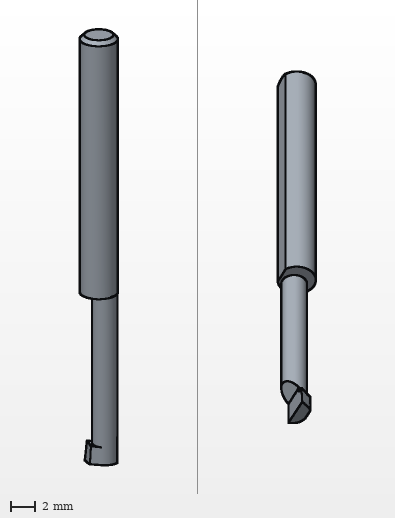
import cadquery as cq

total_length = 38.1
shank_radius = 1.58
shank_bottom = 15.15
shank_chamfer = 0.4
shank_flat_y = 1.353

neck_radius = 1.05
neck_x = shank_radius - neck_radius

cut_face_y = 0.05
ramp_bottom = 2.25
ramp_top = 3.25

tooth_height = 1.8
tooth_tip_x = -1.22
tooth_heel_x = -0.72
tooth_heel_y = -0.75
tooth_back_x = -0.45
tooth_side_lean = 0.2
end_relief_angle = 7.0
end_dish_angle = 2.0


def make_shank():
    """Round shank with a chamfered top and a flat along its +Y side."""
    shank = (
        cq.Workplane("XY", origin=(0, 0, shank_bottom))
        .circle(shank_radius)
        .extrude(total_length - shank_bottom)
        .faces(">Z")
        .chamfer(shank_chamfer)
    )
    flat_cutter = cq.Workplane("XY").box(
        2 * shank_radius, shank_radius, total_length, centered=(True, False, False)
    ).translate((0, shank_flat_y, 0))
    return shank.cut(flat_cutter)


def make_neck():
    """Offset round neck, halved and ramped near the tip."""
    neck = (
        cq.Workplane("XY", origin=(neck_x, 0, 0))
        .circle(neck_radius)
        .extrude(shank_bottom)
    )
    relief = (
        cq.Workplane("YZ")
        .moveTo(cut_face_y, 0)
        .lineTo(cut_face_y, ramp_bottom)
        .lineTo(neck_radius, ramp_top)
        .lineTo(neck_radius, 0)
        .close()
        .extrude(2 * shank_radius, both=True)
    )
    return neck.cut(relief)


def tooth_outline(shift):
    """Corners of the tooth, with its outer side moved inward by shift."""
    return [
        (neck_x, cut_face_y),
        (tooth_tip_x + shift, cut_face_y),
        (tooth_heel_x + shift, tooth_heel_y),
        (tooth_back_x + shift / 2, -neck_radius),
        (neck_x, -neck_radius),
    ]


def make_tooth():
    """Tooth whose outer side leans outward toward the tip."""
    return (
        cq.Workplane("XY")
        .polyline(tooth_outline(0))
        .close()
        .workplane(offset=tooth_height)
        .polyline(tooth_outline(tooth_side_lean))
        .close()
        .loft(ruled=True)
    )


def make_end_relief():
    """Block whose top slopes up from the tooth tip toward -Y and +X."""
    block_size = 4 * shank_radius
    return (
        cq.Workplane("XY")
        .box(block_size, block_size, block_size, centered=(True, True, False))
        .translate((0, 0, -block_size))
        .rotate((0, 0, 0), (1, 0, 0), -end_relief_angle)
        .rotate((0, 0, 0), (0, 1, 0), -end_dish_angle)
        .translate((tooth_tip_x, cut_face_y, 0))
    )


lower_end = make_neck().union(make_tooth()).cut(make_end_relief())
result = make_shank().union(lower_end)